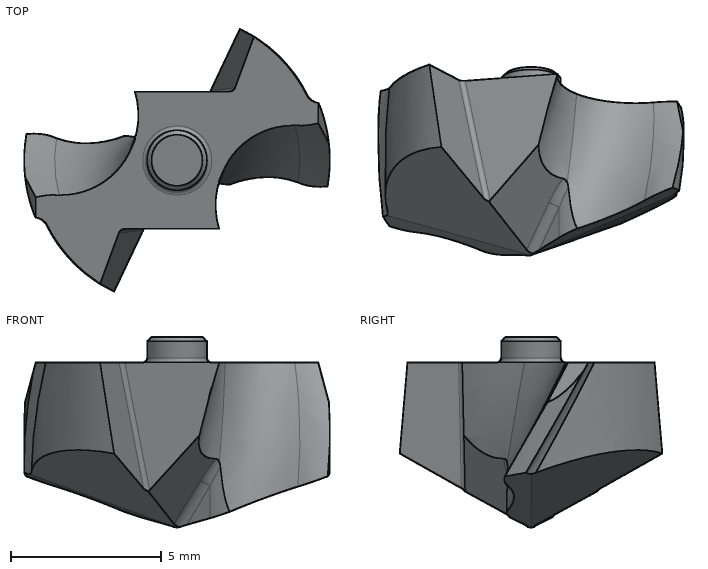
import cadquery as cq
import math


MARGIN_RADIUS = 5.097
CLEARANCE_RADIUS = 4.855
HELIX_ANGLE = 30.0
TIP_DEPTH = 5.51
POINT_ANGLE = 140.0
PRIMARY_RELIEF_SLOPE = 0.137
SECONDARY_RELIEF_SLOPE = 0.39

PIN_RADIUS = 1.0
PIN_HEIGHT = 0.85
PIN_CHAMFER = 0.15
PIN_ROOT_RADIUS = 0.15

LAND_LEAD_ANGLE = 14.8
LAND_TRAIL_ANGLE = 22.0
STEP_FOOT_ANGLE = 25.8
STEP_MIDDLE = (4.55, 1.965)
FLUTE_START = (3.92, 1.16)
FLUTE_CREST = (4.50, 1.19)
FLUTE_MIDDLE = (2.34, 0.65)
FLUTE_WAIST = (1.60, -0.23)
FLUTE_HEEL_MIDDLE = (1.29, -1.5)
FLUTE_HEEL = (1.42, -2.33)
FLUTE_EXIT_ANGLE = -65.0

SEAT_OFFSET = 2.29
SEAT_TILT = 1.25
DRIVE_WALL_POINT = (-2.57, -4.13, 0)
DRIVE_WALL_AZIMUTH = 69.7
DRIVE_WALL_TILT = 9.9
NOTCH_FILLET = 0.2

SHOULDER_X = 4.71
SHOULDER_ANGLE = 15.0

GASH_LIP_ANGLE = 30.0
GASH_LIP_END = (1.09, -0.64)
GASH_LIP_RADIUS = 1.3
GASH_FLOOR_POINT = (-0.1, -0.24, -5.37)
GASH_FLOOR_NORMAL = (3.43, -3.23, -3.19)
GASH_FILLET = 0.3
GASH_INNER_RUN = 3.0
GASH_OUTER_X = 2.5
GASH_FRONT_Y = -4.5

POINT_ALLOWANCE = 0.2
STOCK = 20.0

BLANK_DEPTH = TIP_DEPTH + POINT_ALLOWANCE
LEAD = 2 * math.pi * MARGIN_RADIUS / math.tan(math.radians(HELIX_ANGLE))
BLANK_TWIST = 360.0 * BLANK_DEPTH / LEAD
POINT_SLOPE = 1 / math.tan(math.radians(POINT_ANGLE / 2))


def polar(radius, angle):
    return (radius * math.cos(math.radians(angle)), radius * math.sin(math.radians(angle)))


def opposite(point):
    return (-point[0], -point[1])


def half_space(origin, normal):
    """Large block on the side of a plane that its normal points to."""
    plane = cq.Plane(origin=origin, normal=normal)
    return cq.Workplane(plane).rect(STOCK, STOCK).extrude(STOCK)


def cut_both(body, cutter):
    turned = cutter.rotate((0, 0, 0), (0, 0, 1), 180)
    return body.cut(cutter).cut(turned)


def add_half_section(wire, place):
    """Flute, margin, step and clearance arc of one half, from one flute exit to the other."""
    exit_point = polar(CLEARANCE_RADIUS, FLUTE_EXIT_ANGLE)
    next_exit = opposite(exit_point)
    lead = polar(MARGIN_RADIUS, LAND_LEAD_ANGLE)
    trail = polar(MARGIN_RADIUS, LAND_TRAIL_ANGLE)
    land_middle = polar(MARGIN_RADIUS, (LAND_LEAD_ANGLE + LAND_TRAIL_ANGLE) / 2)
    foot = polar(CLEARANCE_RADIUS, STEP_FOOT_ANGLE)
    clearance_middle = polar(CLEARANCE_RADIUS, (STEP_FOOT_ANGLE + 180 + FLUTE_EXIT_ANGLE) / 2)
    return (
        wire.lineTo(*place(FLUTE_HEEL))
        .threePointArc(place(FLUTE_HEEL_MIDDLE), place(FLUTE_WAIST))
        .threePointArc(place(FLUTE_MIDDLE), place(FLUTE_START))
        .threePointArc(place(FLUTE_CREST), place(lead))
        .threePointArc(place(land_middle), place(trail))
        .threePointArc(place(STEP_MIDDLE), place(foot))
        .threePointArc(place(clearance_middle), place(next_exit))
    )


def fluted_blank():
    start = polar(CLEARANCE_RADIUS, FLUTE_EXIT_ANGLE)
    base = cq.Workplane("XY", origin=(0, 0, -BLANK_DEPTH)).transformed(rotate=(0, 0, -BLANK_TWIST))
    wire = base.moveTo(*start)
    wire = add_half_section(wire, lambda point: point)
    wire = add_half_section(wire, opposite)
    return wire.close().twistExtrude(BLANK_DEPTH, BLANK_TWIST)


def cut_point(body):
    tip = (0, 0, -TIP_DEPTH)
    for relief_slope in (PRIMARY_RELIEF_SLOPE, SECONDARY_RELIEF_SLOPE):
        body = cut_both(body, half_space(tip, (-POINT_SLOPE, -relief_slope, -1)))
    return body


def cut_notches(body):
    seat_tilt = math.tan(math.radians(SEAT_TILT))
    wall_tilt = math.tan(math.radians(DRIVE_WALL_TILT))
    azimuth = math.radians(DRIVE_WALL_AZIMUTH)
    seat = half_space((0, -SEAT_OFFSET, 0), (0, -1, -seat_tilt))
    wall = half_space(DRIVE_WALL_POINT, (math.sin(azimuth), -math.cos(azimuth), wall_tilt))
    corner_reach = (SEAT_OFFSET + DRIVE_WALL_POINT[1]) / math.tan(azimuth)
    corner = (DRIVE_WALL_POINT[0] - corner_reach, -SEAT_OFFSET, 0)
    notch = seat.intersect(wall)
    notch = notch.edges(cq.selectors.NearestToPointSelector(corner)).fillet(NOTCH_FILLET)
    return cut_both(body, notch)


def cut_shoulders(body):
    slope = math.tan(math.radians(SHOULDER_ANGLE))
    return cut_both(body, half_space((SHOULDER_X, 0, 0), (1, 0, slope)))


def cut_gashes(body):
    angle = math.radians(GASH_LIP_ANGLE)
    end_x, end_y = GASH_LIP_END

    def arc_point(heading):
        """Point of the lip curve where it makes the given angle with X."""
        across = GASH_LIP_RADIUS * (math.sin(angle) - math.sin(heading))
        down = GASH_LIP_RADIUS * (math.cos(heading) - math.cos(angle))
        return (end_x + across, end_y - down)

    inner = (end_x - GASH_INNER_RUN * math.cos(angle), end_y + GASH_INNER_RUN * math.sin(angle))
    arc_end = arc_point(0)
    prism = (
        cq.Workplane("XY", origin=(0, 0, -STOCK / 2))
        .moveTo(*inner)
        .lineTo(*GASH_LIP_END)
        .threePointArc(arc_point(angle / 2), arc_end)
        .lineTo(GASH_OUTER_X, arc_end[1])
        .lineTo(GASH_OUTER_X, GASH_FRONT_Y)
        .lineTo(inner[0], GASH_FRONT_Y)
        .close()
        .extrude(STOCK)
    )
    gash = prism.intersect(half_space(GASH_FLOOR_POINT, GASH_FLOOR_NORMAL))
    root_x = (inner[0] + end_x) / 2
    root_y = (inner[1] + end_y) / 2
    normal_x, normal_y, normal_z = GASH_FLOOR_NORMAL
    floor_x, floor_y, floor_z = GASH_FLOOR_POINT
    root_z = floor_z - (normal_x * (root_x - floor_x) + normal_y * (root_y - floor_y)) / normal_z
    root = cq.selectors.NearestToPointSelector((root_x, root_y, root_z))
    return cut_both(body, gash.edges(root).fillet(GASH_FILLET))


def add_pin(body):
    flare = PIN_RADIUS + PIN_ROOT_RADIUS
    bend = PIN_ROOT_RADIUS * (1 - math.sqrt(0.5))
    pin = (
        cq.Workplane("XZ")
        .moveTo(0, -PIN_HEIGHT)
        .lineTo(flare, -PIN_HEIGHT)
        .lineTo(flare, 0)
        .threePointArc((PIN_RADIUS + bend, bend), (PIN_RADIUS, PIN_ROOT_RADIUS))
        .lineTo(PIN_RADIUS, PIN_HEIGHT - PIN_CHAMFER)
        .lineTo(PIN_RADIUS - PIN_CHAMFER, PIN_HEIGHT)
        .lineTo(0, PIN_HEIGHT)
        .close()
        .revolve(360, (0, 0, 0), (0, 1, 0))
    )
    return body.union(pin)


body = fluted_blank()
body = cut_point(body)
body = cut_notches(body)
body = cut_shoulders(body)
body = cut_gashes(body)
result = add_pin(body)